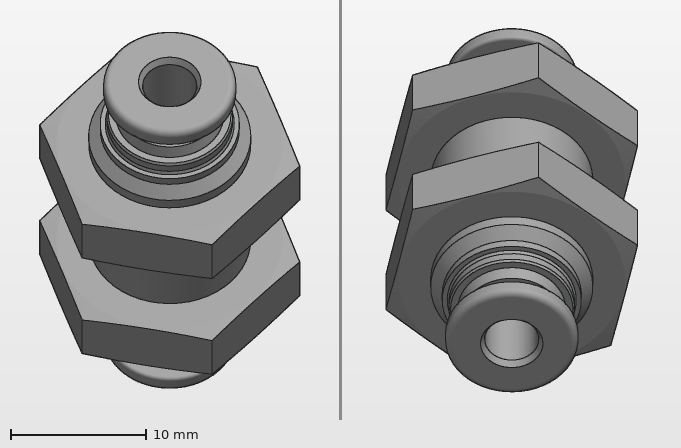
import cadquery as cq
import math

LENGTH = 31.0
HALF_LENGTH = LENGTH / 2

BARREL_RADIUS = 12.0 / 2
BARREL_END_DEPTH = 6.57

SHOULDER_RADIUS = 10.3 / 2
SHOULDER_CONE_TOP_DEPTH = 5.75
SHOULDER_TOP_DEPTH = 5.05
STEP_RADIUS = 9.3 / 2
STEP_FLARE = 0.12
STEP_FLARE_DEPTH = 4.8
STEP_TOP_DEPTH = 3.97
STEP_CHAMFER_WIDTH = 0.12
STEP_CHAMFER_HEIGHT = 0.2
COLLAR_BASE_RADIUS = 8.0 / 2
COLLAR_TOP_RADIUS = 7.38 / 2
COLLAR_TOP_DEPTH = 3.1

NECK_RADIUS = 5.5 / 2
FLANGE_RADIUS = 9.8 / 2
FLANGE_THICKNESS = 1.4
FLANGE_OUTER_FILLET = 0.5
FLANGE_INNER_FILLET = 0.25

PASSAGE_RADIUS = 3.0 / 2
SOCKET_RADIUS = 4.0 / 2
SOCKET_DEPTH = 7.75
SOCKET_MOUTH_RADIUS = 4.62 / 2
SOCKET_MOUTH_DEPTH = 0.5

NUT_ACROSS_CORNERS = 19.62
NUT_HEIGHT = 4.5
NUT_OUTER_DEPTH = 7.47
NUT_FACE_RADIUS = 16.75 / 2
NUT_CORNER_DROP = 0.22
NUT_CENTRE_HEIGHT = HALF_LENGTH - NUT_OUTER_DEPTH - NUT_HEIGHT / 2


def revolve_about_z(profile):
    """Turn a closed radius-height profile about the Z axis."""
    return profile.close().revolve(360, (0, 0, 0), (0, 1, 0))


def level(depth):
    """Height of a point that lies the given depth below the upper end face."""
    return HALF_LENGTH - depth


def make_end_waste():
    """Ring of material to turn away around the upper end, leaving its stepped outline."""
    diagonal = math.sqrt(0.5)
    outer_fillet_centre = (FLANGE_RADIUS - FLANGE_OUTER_FILLET, level(FLANGE_OUTER_FILLET))
    inner_fillet_centre = (
        FLANGE_RADIUS - FLANGE_INNER_FILLET,
        level(FLANGE_THICKNESS - FLANGE_INNER_FILLET),
    )
    outer_fillet_middle = (
        outer_fillet_centre[0] + FLANGE_OUTER_FILLET * diagonal,
        outer_fillet_centre[1] + FLANGE_OUTER_FILLET * diagonal,
    )
    inner_fillet_middle = (
        inner_fillet_centre[0] + FLANGE_INNER_FILLET * diagonal,
        inner_fillet_centre[1] - FLANGE_INNER_FILLET * diagonal,
    )
    profile = (
        cq.Workplane("XZ")
        .moveTo(BARREL_RADIUS, level(BARREL_END_DEPTH))
        .lineTo(SHOULDER_RADIUS, level(SHOULDER_CONE_TOP_DEPTH))
        .lineTo(SHOULDER_RADIUS, level(SHOULDER_TOP_DEPTH))
        .lineTo(STEP_RADIUS + STEP_FLARE, level(SHOULDER_TOP_DEPTH))
        .lineTo(STEP_RADIUS, level(STEP_FLARE_DEPTH))
        .lineTo(STEP_RADIUS, level(STEP_TOP_DEPTH + STEP_CHAMFER_HEIGHT))
        .lineTo(STEP_RADIUS - STEP_CHAMFER_WIDTH, level(STEP_TOP_DEPTH))
        .lineTo(COLLAR_BASE_RADIUS, level(STEP_TOP_DEPTH))
        .lineTo(COLLAR_TOP_RADIUS, level(COLLAR_TOP_DEPTH))
        .lineTo(NECK_RADIUS, level(COLLAR_TOP_DEPTH))
        .lineTo(NECK_RADIUS, level(FLANGE_THICKNESS))
        .lineTo(inner_fillet_centre[0], level(FLANGE_THICKNESS))
        .threePointArc(inner_fillet_middle, (FLANGE_RADIUS, inner_fillet_centre[1]))
        .lineTo(FLANGE_RADIUS, outer_fillet_centre[1])
        .threePointArc(outer_fillet_middle, (outer_fillet_centre[0], HALF_LENGTH))
        .lineTo(BARREL_RADIUS, HALF_LENGTH)
    )
    return revolve_about_z(profile)


def make_socket():
    """Tube socket in the upper end, with a tapered mouth."""
    profile = (
        cq.Workplane("XZ")
        .moveTo(0, HALF_LENGTH)
        .lineTo(SOCKET_MOUTH_RADIUS, HALF_LENGTH)
        .lineTo(SOCKET_RADIUS, level(SOCKET_MOUTH_DEPTH))
        .lineTo(SOCKET_RADIUS, level(SOCKET_DEPTH))
        .lineTo(0, level(SOCKET_DEPTH))
    )
    return revolve_about_z(profile)


def make_body():
    """Fitting body: a bored barrel with the same turned end and socket at both ends."""
    barrel = (
        cq.Workplane("XY")
        .circle(BARREL_RADIUS)
        .circle(PASSAGE_RADIUS)
        .extrude(LENGTH)
        .translate((0, 0, -HALF_LENGTH))
    )
    for cutter in (make_end_waste(), make_socket()):
        barrel = barrel.cut(cutter).cut(cutter.mirror("XY"))
    return barrel


def make_nut(centre_height):
    """Hexagonal nut with corners on the Y axis, both faces chamfered at the corners."""
    half_height = NUT_HEIGHT / 2
    corner_radius = NUT_ACROSS_CORNERS / 2
    hexagon = (
        cq.Workplane("XY")
        .polygon(6, NUT_ACROSS_CORNERS)
        .extrude(half_height, both=True)
        .rotate((0, 0, 0), (0, 0, 1), 30)
    )
    chamfer_envelope = revolve_about_z(
        cq.Workplane("XZ")
        .moveTo(BARREL_RADIUS, -half_height)
        .lineTo(NUT_FACE_RADIUS, -half_height)
        .lineTo(corner_radius, NUT_CORNER_DROP - half_height)
        .lineTo(corner_radius, half_height - NUT_CORNER_DROP)
        .lineTo(NUT_FACE_RADIUS, half_height)
        .lineTo(BARREL_RADIUS, half_height)
    )
    return hexagon.intersect(chamfer_envelope).translate((0, 0, centre_height))


body = make_body()
nuts = [make_nut(side * NUT_CENTRE_HEIGHT) for side in (1, -1)]

result = cq.Compound.makeCompound([body.val(), *[nut.val() for nut in nuts]])